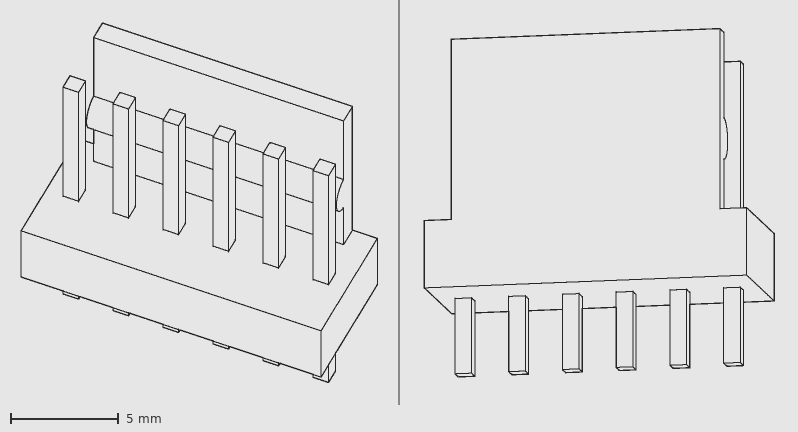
import cadquery as cq

pin_count = 6
base_length = 15.24
base_depth = 6.35
base_height = 3.19
overall_height = 15.24
pitch = base_length / pin_count

pin_width = 0.8
pin_below_base = 3.55
pin_above_base = 7.48
pin_from_back = base_depth / 2

wall_length = pitch * (pin_count - 1)
wall_thickness = 1.0
wall_height = overall_height - pin_below_base - base_height

rib_half_chord = 0.98
rib_projection = 0.81
rib_above_base = 3.5

wall_front = -wall_thickness
pin_y = -pin_from_back


def make_pin(x):
    """Full-length square pin centred at x."""
    return (
        cq.Workplane("XY", origin=(x, pin_y, -pin_below_base))
        .rect(pin_width, pin_width)
        .extrude(pin_below_base + base_height + pin_above_base)
    )


def latch_rib():
    """Arc-section rib running the length of the wall."""
    middle_z = base_height + rib_above_base
    return (
        cq.Workplane("YZ", origin=(-wall_length / 2, 0, 0))
        .moveTo(wall_front, middle_z - rib_half_chord)
        .threePointArc(
            (wall_front - rib_projection, middle_z),
            (wall_front, middle_z + rib_half_chord),
        )
        .close()
        .extrude(wall_length)
    )


def make_housing(pins):
    """Base with locking wall and rib, pierced by the pins."""
    base = cq.Workplane("XY").box(
        base_length, base_depth, base_height, centered=(True, False, False)
    ).translate((0, -base_depth, 0))
    wall = cq.Workplane("XY").box(
        wall_length, wall_thickness, wall_height, centered=(True, False, False)
    ).translate((0, wall_front, base_height))
    housing = base.union(wall).union(latch_rib())
    for pin in pins:
        housing = housing.cut(pin)
    return housing


pins = []
for index in range(pin_count):
    pin_x = (index - (pin_count - 1) / 2) * pitch
    pins.append(make_pin(pin_x))

housing = make_housing(pins)

result = cq.Compound.makeCompound([housing.solids().val(), *[pin.val() for pin in pins]])